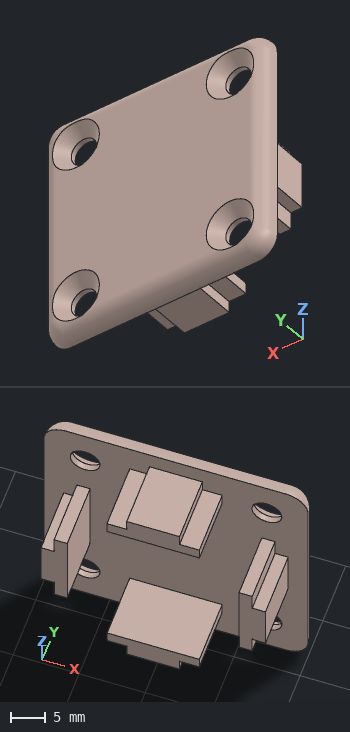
import cadquery as cq

plate_side = 40.0
plate_thickness = 3.0
corner_radius = 3.4
rim_height = 0.25
edge_radius = plate_thickness - rim_height

hole_offset = 13.75
hole_diameter = 4.5
countersink_diameter = 8.5
countersink_angle = 90.0

leg_length = 10.0
leg_step = 2.0
leg_inner_distance = 13.0
leg_inner_width = 14.0
leg_outer_width = 8.0
leg_count = 4


def make_plate():
    """Plate with rounded corners, a rounded outer edge and countersunk holes."""
    plate = (
        cq.Workplane("XZ")
        .rect(plate_side, plate_side)
        .extrude(-plate_thickness)
        .edges("|Y")
        .fillet(corner_radius)
        .faces(">Y")
        .edges()
        .fillet(edge_radius)
    )
    return (
        plate.faces(">Y")
        .workplane(origin=(0, plate_thickness, 0))
        .rect(2 * hole_offset, 2 * hole_offset, forConstruction=True)
        .vertices()
        .cskHole(hole_diameter, countersink_diameter, countersink_angle)
    )


def make_leg():
    """Leg on the +Z side: a wide inner layer and a narrow outer layer."""

    def layer(width, distance):
        return (
            cq.Workplane("XZ")
            .center(0, distance + leg_step / 2)
            .rect(width, leg_step)
            .extrude(leg_length)
        )

    inner_layer = layer(leg_inner_width, leg_inner_distance)
    outer_layer = layer(leg_outer_width, leg_inner_distance + leg_step)
    return inner_layer.union(outer_layer)


result = make_plate()
leg = make_leg()
for index in range(leg_count):
    turn = index * 360.0 / leg_count
    result = result.union(leg.rotate((0, 0, 0), (0, 1, 0), turn))